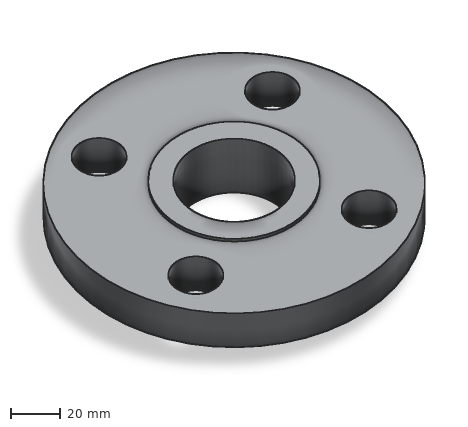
import cadquery as cq

flange_diameter = 155.5
flange_thickness = 19.0

hub_diameter = 70.0
raised_face_height = 1.5
overall_height = 30.2
hub_height = overall_height - flange_thickness - raised_face_height

bore_diameter = 49.6
bolt_hole_diameter = 22.4
bolt_circle_diameter = 114.3
bolt_count = 4
first_bolt_angle = 180.0 / bolt_count


def cylinder(diameter, height, base_height):
    """Cylinder on the Z axis, rising from base_height."""
    return cq.Workplane("XY").workplane(offset=base_height).circle(diameter / 2).extrude(height)


def bolt_holes():
    """Cutters evenly spaced on the bolt circle, straddling the X and Y axes."""
    return (
        cq.Workplane("XY")
        .polarArray(bolt_circle_diameter / 2, first_bolt_angle, 360, bolt_count)
        .circle(bolt_hole_diameter / 2)
        .extrude(overall_height)
    )


flange = cylinder(flange_diameter, flange_thickness, hub_height)
hub = cylinder(hub_diameter, overall_height, 0)
bore = cylinder(bore_diameter, overall_height, 0)

result = flange.union(hub).cut(bore).cut(bolt_holes())